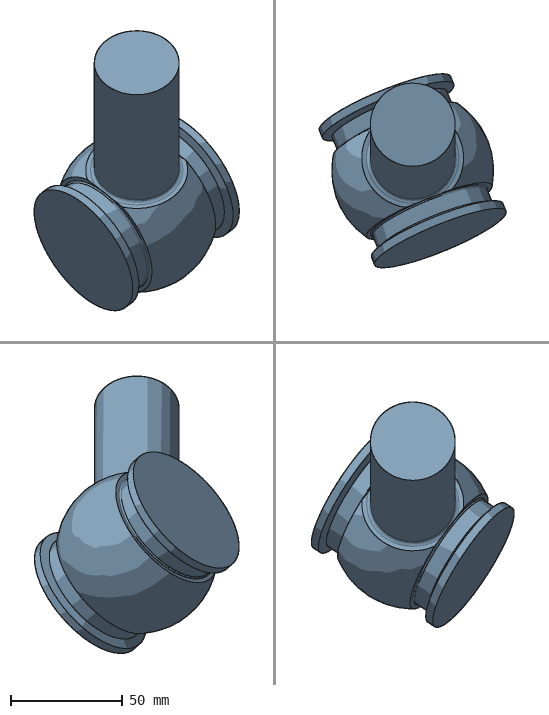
import cadquery as cq
import math

total_height = 138.5
ball_radius = 36.49
side_flat_offset = 20.0
top_flat_offset = 28.4

stem_radius = 19.1
stem_fillet = 1.7
stem_top = total_height - ball_radius

flange_face_offset = 33.4
flange_radius = 32.0
flange_rim = 3.9
flange_taper = 1.5
neck_radius = 27.8
neck_fillet = 0.7


def make_ball():
    """Sphere with flats at +Y, -Y and the top."""
    block_height = ball_radius + top_flat_offset
    block = cq.Workplane("XY").box(2 * ball_radius, 2 * side_flat_offset, block_height)
    block = block.translate((0, 0, top_flat_offset - block_height / 2))
    return cq.Workplane("XY").sphere(ball_radius).intersect(block)


def fillet_midpoint(shaft_radius, flat_offset, fillet):
    """Middle of a concave quarter arc between a shaft and the flat at its foot."""
    drop = fillet * (1 - math.sqrt(0.5))
    return (shaft_radius + drop, flat_offset + drop)


def make_stem():
    """Round stem with a concave fillet at its foot, trimmed level with the side flats."""
    stem = (
        cq.Workplane("XZ")
        .lineTo(stem_radius + stem_fillet, 0)
        .lineTo(stem_radius + stem_fillet, top_flat_offset)
        .threePointArc(
            fillet_midpoint(stem_radius, top_flat_offset, stem_fillet),
            (stem_radius, top_flat_offset + stem_fillet),
        )
        .lineTo(stem_radius, stem_top)
        .lineTo(0, stem_top)
        .close()
        .revolve(360, (0, 0), (0, 1))
    )
    slab = cq.Workplane("XY").box(2 * ball_radius, 2 * side_flat_offset, 2 * total_height)
    return stem.intersect(slab)


def make_flanged_neck():
    """Neck along +Y with a filleted foot and a tapered flange at its end."""
    rim_back = flange_face_offset - flange_rim
    return (
        cq.Workplane("XY")
        .lineTo(neck_radius + neck_fillet, 0)
        .lineTo(neck_radius + neck_fillet, side_flat_offset)
        .threePointArc(
            fillet_midpoint(neck_radius, side_flat_offset, neck_fillet),
            (neck_radius, side_flat_offset + neck_fillet),
        )
        .lineTo(neck_radius, rim_back - flange_taper)
        .lineTo(flange_radius, rim_back)
        .lineTo(flange_radius, flange_face_offset)
        .lineTo(0, flange_face_offset)
        .close()
        .revolve(360, (0, 0), (0, 1))
    )


def trim_to_top_flat(neck):
    """Cut the buried and filleted foot of the neck down to the top flat."""
    foot_reach = side_flat_offset + neck_fillet
    cutter = cq.Workplane("XY").box(2 * ball_radius, 2 * foot_reach, ball_radius)
    return neck.cut(cutter.translate((0, 0, top_flat_offset + ball_radius / 2)))


neck = trim_to_top_flat(make_flanged_neck())
result = make_ball().union(make_stem()).union(neck).union(neck.mirror("XZ"))